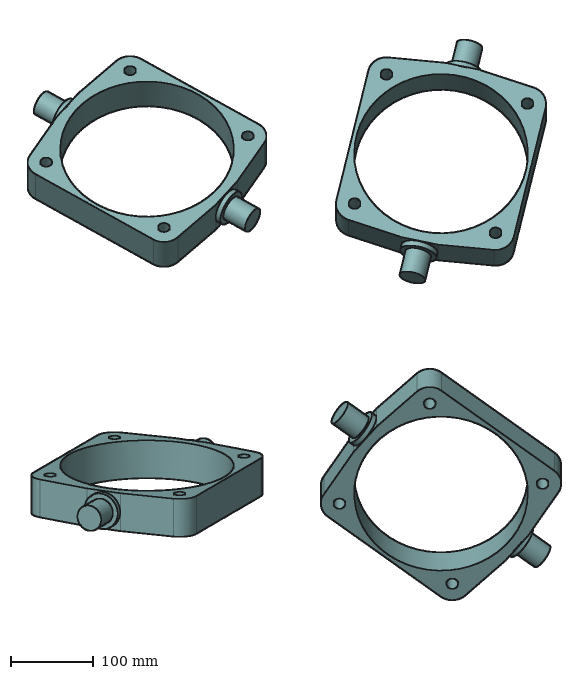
import cadquery as cq
import math

length = 314.0
width = 220.0
height = 48.0
bore_diameter = 210.0
hole_spacing = 175.0
hole_diameter = 14.0
flat_span = 236.0

collar_diameter = 45.0
collar_span = 250.0
pin_diameter = 32.0

corner_center = hole_spacing / 2
corner_radius = width / 2 - corner_center

flat_x = flat_span / 2
flat_y = collar_diameter / 2
run_x = flat_x - corner_center
run_y = corner_center - flat_y
taper_angle = math.atan2(run_x, run_y) - math.asin(corner_radius / math.hypot(run_x, run_y))


def corner_point(angle):
    """Point on the +X +Y corner arc, with the angle measured from +X."""
    return (
        corner_center + corner_radius * math.cos(angle),
        corner_center + corner_radius * math.sin(angle),
    )


def make_frame():
    """Plate with tapered sides, large bore and four bolt holes."""
    quarter = (
        cq.Workplane("XY")
        .workplane(offset=-height / 2)
        .lineTo(flat_x, 0)
        .lineTo(flat_x, flat_y)
        .lineTo(*corner_point(taper_angle))
        .threePointArc(corner_point((taper_angle + math.pi / 2) / 2), corner_point(math.pi / 2))
        .lineTo(0, width / 2)
        .close()
        .extrude(height)
    )
    half = quarter.union(quarter.mirror("YZ"))
    plate = half.union(half.mirror("XZ")).clean()
    return (
        plate.faces(">Z")
        .workplane(origin=(0, 0, 0))
        .hole(bore_diameter)
        .faces(">Z")
        .workplane(origin=(0, 0, 0))
        .rect(hole_spacing, hole_spacing, forConstruction=True)
        .vertices()
        .hole(hole_diameter)
    )


def make_trunnion(side):
    """Collar and pin standing on one flat; side is +1 for +X, -1 for -X."""
    face = cq.Workplane("YZ").workplane(offset=side * flat_x)
    collar = face.circle(collar_diameter / 2).extrude(side * (collar_span / 2 - flat_x))
    pin = face.circle(pin_diameter / 2).extrude(side * (length / 2 - flat_x))
    return collar.union(pin)


result = make_frame()
for side in (-1, 1):
    result = result.union(make_trunnion(side))